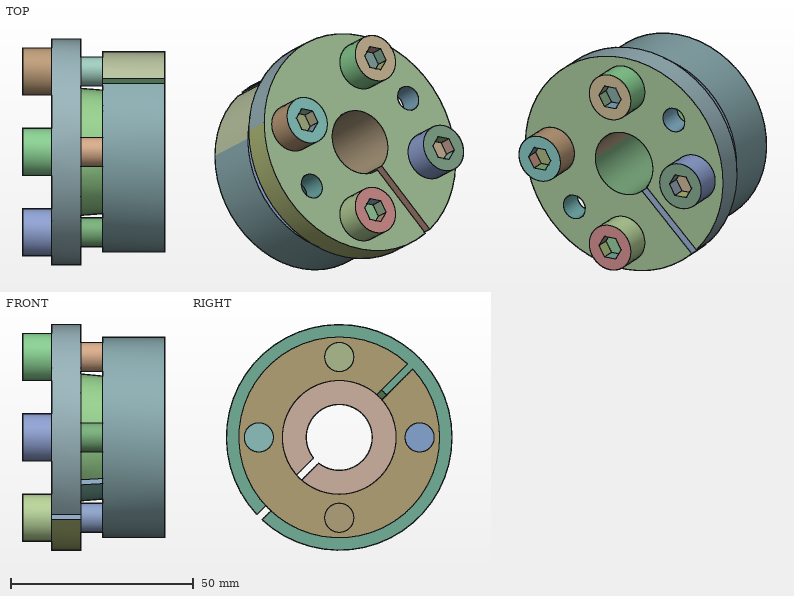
import cadquery as cq
import math


overall_length = 39.0
head_length = 8.0
flange_thickness = 8.0
gap = 6.0
ring_start = flange_thickness + gap
back_end = overall_length - head_length
ring_length = back_end - ring_start

flange_diameter = 61.85
ring_diameter = 55.0
bore_diameter = 18.0
ring_front_bore_radius = 16.95
back_taper_radius = 15.6
taper_slope = (ring_front_bore_radius - back_taper_radius) / ring_length
flange_taper_radius = ring_front_bore_radius + taper_slope * gap
slit_width = 2.0
hub_slit_angle = 225.0
ring_slit_angle = 45.0

pitch_radius = 22.0
screw_diameter = 8.0
head_diameter = 13.0
socket_across_flats = 6.0
socket_depth = 4.0
screw_angles = [0, 90, 180, 270]
jack_hole_diameter = 6.8
jack_hole_angles = [135, 315]


def cylinder(x_start, length, diameter, center=(0, 0)):
    """Cylinder along X, centred at the given (Y, Z)."""
    return cq.Workplane("YZ", origin=(x_start, *center)).circle(diameter / 2).extrude(length)


def on_pitch_circle(angle):
    """(Y, Z) of a point on the pitch circle."""
    turn = math.radians(angle)
    return pitch_radius * math.cos(turn), pitch_radius * math.sin(turn)


def taper():
    """Solid cone from the flange to the back end."""
    profile = (
        cq.Workplane("XY")
        .moveTo(flange_thickness, 0)
        .lineTo(flange_thickness, flange_taper_radius)
        .lineTo(back_end, back_taper_radius)
        .lineTo(back_end, 0)
        .close()
    )
    return profile.revolve(360, (0, 0, 0), (1, 0, 0))


def slit(angle):
    """Radial slab that cuts through one side of a round body along its whole length."""
    slab = cq.Workplane("XY").box(back_end, flange_diameter, slit_width, centered=(False, False, True))
    return slab.rotate((0, 0, 0), (1, 0, 0), angle)


def make_hub():
    hub = cylinder(0, flange_thickness, flange_diameter).union(taper())
    hub = hub.cut(cylinder(0, back_end, bore_diameter))
    for angle in screw_angles:
        hub = hub.cut(cylinder(0, flange_thickness, screw_diameter, on_pitch_circle(angle)))
    for angle in jack_hole_angles:
        hub = hub.cut(cylinder(0, flange_thickness, jack_hole_diameter, on_pitch_circle(angle)))
    return hub.cut(slit(hub_slit_angle))


def make_ring():
    ring = cylinder(ring_start, ring_length, ring_diameter).cut(taper())
    for angle in screw_angles:
        ring = ring.cut(cylinder(ring_start, ring_length, screw_diameter, on_pitch_circle(angle)))
    return ring.cut(slit(ring_slit_angle))


def make_screw(angle):
    center = on_pitch_circle(angle)
    head = cylinder(-head_length, head_length, head_diameter, center)
    shank = cylinder(0, back_end, screw_diameter, center)
    socket_across_corners = socket_across_flats / math.cos(math.pi / 6)
    socket = (
        cq.Workplane("YZ", origin=(-head_length, *center))
        .polygon(6, socket_across_corners)
        .extrude(socket_depth)
    )
    return head.union(shank).cut(socket)


hub = make_hub()
ring = make_ring()
screws = [make_screw(angle).val() for angle in screw_angles]

result = cq.Compound.makeCompound([hub.val(), ring.val(), *screws])